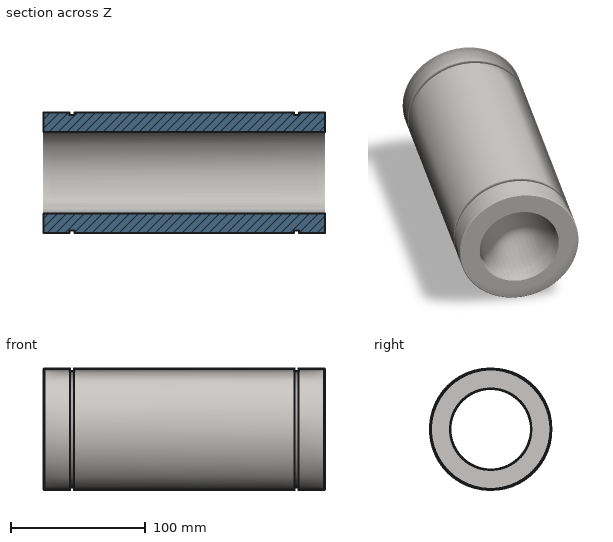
import cadquery as cq

length = 209.0
outer_diameter = 90.0
bore_diameter = 60.0
groove_diameter = 86.5
groove_width = 3.1
groove_span = 170.0
end_chamfer = 0.6


def cylinder_along_x(diameter, start, extent):
    """Solid cylinder on the X axis beginning at x = start."""
    return cq.Workplane("YZ", origin=(start, 0, 0)).circle(diameter / 2).extrude(extent)


def groove_ring(start):
    """Ring of material removed to form one outer groove."""
    blank = cylinder_along_x(outer_diameter, start, groove_width)
    return blank.cut(cylinder_along_x(groove_diameter, start, groove_width))


body = cylinder_along_x(outer_diameter, -length / 2, length)
body = body.faces("<X or >X").edges().chamfer(end_chamfer)

body = body.cut(cylinder_along_x(bore_diameter, -length / 2, length))

for groove_start in (-groove_span / 2, groove_span / 2 - groove_width):
    body = body.cut(groove_ring(groove_start))

result = body